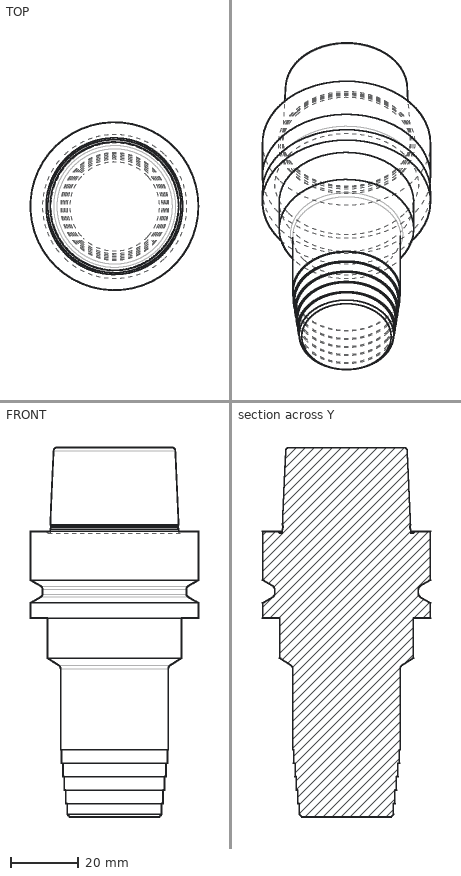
import cadquery as cq
import math

total_length = 109.9

flange_radius = 25.0
flange_top = 85.0
flange_bottom = 59.1
groove_floor_radius = 21.4
groove_center = 67.0
groove_floor_width = 2.6
groove_fillet = 1.0
groove_flank_angle = 30.0

taper_tip_radius = 18.1
taper_base_radius = 19.1
taper_base = 86.9
tip_rounding = 1.0
neck_radius = 18.9
neck_step = 0.5
neck_height = 0.2
face_recess_radius = 20.3
face_recess_depth = 0.5

collar_radius = 20.0
collar_bottom = 47.3
collar_cone_radius = 16.7
collar_cone_height = 2.1
shank_radius = 16.0
shank_fillet = 1.1

nose_length = 20.0
nose_band_count = 5
nose_end_radius = 14.1
nose_band_step = 0.4
nose_edge_chamfer = 0.8


def turned_body():
    """Revolve the outer profile, from the nose up to the taper tip."""
    band_length = nose_length / nose_band_count
    nose_top_radius = nose_end_radius + (nose_band_count - 1) * nose_band_step
    groove_half_floor = groove_floor_width / 2
    flank_height = (flange_radius - groove_floor_radius) * math.tan(math.radians(groove_flank_angle))
    groove_half_mouth = groove_half_floor + flank_height
    cone_end = collar_bottom - collar_cone_height

    profile = (
        cq.Workplane("XZ")
        .lineTo(nose_end_radius - nose_edge_chamfer, 0)
        .lineTo(nose_end_radius, nose_edge_chamfer)
    )
    for band in range(nose_band_count - 1):
        band_radius = nose_end_radius + band * nose_band_step
        profile = (
            profile
            .lineTo(band_radius, (band + 1) * band_length)
            .lineTo(band_radius + nose_band_step, (band + 1) * band_length)
        )
    profile = (
        profile
        .lineTo(nose_top_radius, nose_length)
        .lineTo(shank_radius, nose_length)
        .lineTo(shank_radius, cone_end - shank_fillet)
        .tangentArcPoint((collar_cone_radius, cone_end), relative=False)
        .lineTo(collar_radius, collar_bottom)
        .lineTo(collar_radius, flange_bottom)
        .lineTo(flange_radius, flange_bottom)
        .lineTo(flange_radius, groove_center - groove_half_mouth)
        .lineTo(groove_floor_radius, groove_center - groove_half_floor)
        .lineTo(groove_floor_radius, groove_center + groove_half_floor)
        .lineTo(flange_radius, groove_center + groove_half_mouth)
        .lineTo(flange_radius, flange_top)
        .lineTo(face_recess_radius, flange_top)
        .lineTo(face_recess_radius - face_recess_depth, flange_top - face_recess_depth)
        .lineTo(taper_base_radius, flange_top - face_recess_depth)
        .lineTo(taper_base_radius, taper_base - 2 * neck_step - neck_height)
        .lineTo(neck_radius, taper_base - neck_step - neck_height)
        .lineTo(neck_radius, taper_base - neck_step)
        .lineTo(taper_base_radius, taper_base)
        .lineTo(taper_tip_radius, total_length - tip_rounding)
        .tangentArcPoint((taper_tip_radius - tip_rounding, total_length), relative=False)
        .lineTo(0, total_length)
        .close()
    )
    return profile.revolve(360, (0, 0, 0), (0, 1, 0))


def round_groove_floor(body):
    """Fillet both circles where the groove floor meets its flanks."""
    half_floor = groove_floor_width / 2
    reach = groove_floor_radius + groove_fillet
    zone = cq.selectors.BoxSelector(
        (-reach, -reach, groove_center - half_floor - groove_fillet),
        (reach, reach, groove_center + half_floor + groove_fillet),
        boundingbox=True,
    )
    return body.edges(zone).edges("%CIRCLE").fillet(groove_fillet)


result = round_groove_floor(turned_body())